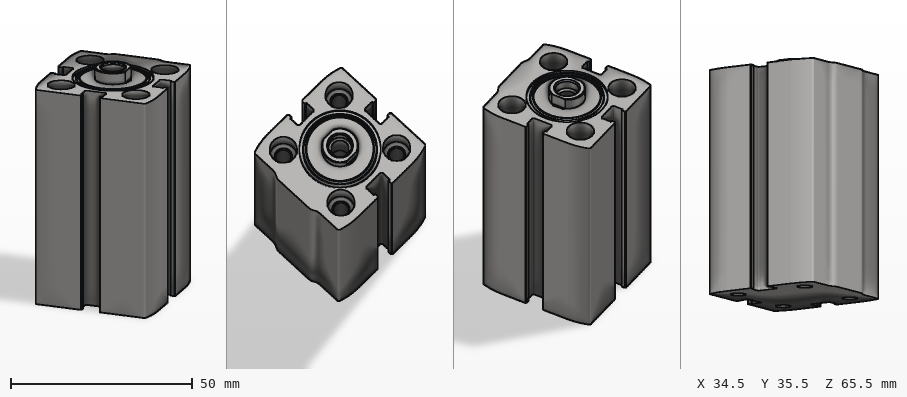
import cadquery as cq
import math

total_height = 65.5
rod_projection = 3.0
housing_height = total_height - rod_projection
rod_insertion = 19.65
rod_base_z = housing_height - rod_insertion

body_width = 34.5
half_width = body_width / 2
band_rise = 1.0
band_foot_half = 9.0
band_top_half = 5.65
band_top_y = half_width + band_rise
band_root_depth = 1.95
band_root_y = half_width - band_root_depth
side_flat_half = 10.6
corner_half_width = 16.1
corner_fillet = 0.65

slot_angles = (0, 180, 270)
slot_depth = 4.45
slot_half_width = 3.15
mouth_half_width = 2.6
lip_thickness = 1.3
lip_chamfer = 0.25
slot_floor_fillet = 0.5

mount_spacing = 22.0
counterbore_diameter = 7.5
counterbore_depth = 6.0
lead_in_diameter = 4.9
mount_hole_diameter = 4.1

cap_bore_diameter = 22.4
outer_ring_diameter = 20.45
outer_ring_slope = math.radians(30)
inner_ring_diameter = 20.0
inner_ring_slope = math.radians(40)
inner_ring_top_diameter = 18.85
cap_face_diameter = 18.35
cap_groove_depth = 0.8
ring_sink = 0.1
cap_face_sink = 0.3
ring_top_z = housing_height - ring_sink
cap_face_z = housing_height - cap_face_sink

rod_diameter = 10.0
rod_chamfer = 0.2
flat_half_width = 4.5
rod_bore_diameter = 6.4
rod_bore_chamfer = 0.4
rod_bore_depth = 2.75
rod_bore_floor_slope = math.radians(30)
thread_diameter = 4.9
thread_depth = 11.8
drill_tip_angle = math.radians(118)


def revolved(section):
    """Solid of revolution about Z from (radius, z) points."""
    return cq.Workplane("XZ").polyline(section).close().revolve(360, (0, 0), (0, 1))


def make_band():
    """Raised band along the +Y side, with an S-shaped flank of two tangent arcs on each side."""
    flank_x = (band_foot_half + band_top_half) / 2
    flank_y = half_width + band_rise / 2
    half_band = (
        cq.Workplane("XY")
        .moveTo(0, band_top_y)
        .lineTo(band_top_half, band_top_y)
        .tangentArcPoint((flank_x, flank_y), relative=False)
        .tangentArcPoint((band_foot_half, half_width), relative=False)
        .lineTo(band_foot_half, band_root_y)
        .lineTo(0, band_root_y)
        .close()
        .extrude(housing_height)
    )
    return half_band.union(half_band.mirror("YZ"))


def barrel_outline():
    """Square whose +X and -X sides are flat in the middle and curve in tangentially to the corners."""
    rise = half_width - side_flat_half
    inset = half_width - corner_half_width
    radius = (rise**2 + inset**2) / (2 * inset)
    half_angle = math.asin(rise / radius) / 2
    arc_x = half_width - radius * (1 - math.cos(half_angle))
    arc_y = side_flat_half + radius * math.sin(half_angle)
    return (
        cq.Workplane("XY")
        .moveTo(-corner_half_width, half_width)
        .lineTo(corner_half_width, half_width)
        .threePointArc((arc_x, arc_y), (half_width, side_flat_half))
        .lineTo(half_width, -side_flat_half)
        .threePointArc((arc_x, -arc_y), (corner_half_width, -half_width))
        .lineTo(-corner_half_width, -half_width)
        .threePointArc((-arc_x, -arc_y), (-half_width, -side_flat_half))
        .lineTo(-half_width, side_flat_half)
        .threePointArc((-arc_x, arc_y), (-corner_half_width, half_width))
        .close()
    )


def slot_cutter(angle):
    """Full-height T-slot opening on the +X side, turned about Z by the given angle."""
    floor_x = half_width - slot_depth
    lip_x = half_width - lip_thickness
    upper_half = [
        (floor_x, slot_half_width),
        (lip_x, slot_half_width),
        (lip_x, mouth_half_width),
        (half_width - lip_chamfer, mouth_half_width),
        (half_width, mouth_half_width + lip_chamfer),
    ]
    lower_half = [(x, -y) for x, y in reversed(upper_half)]
    cutter = cq.Workplane("XY").polyline(upper_half + lower_half).close().extrude(housing_height)
    cutter = cutter.edges("|Z and <X").fillet(slot_floor_fillet)
    return cutter.rotate((0, 0, 0), (0, 0, 1), angle)


def mounting_hole_cutters():
    """Stepped through holes at the four corners, counterbored from the top."""
    floor_z = housing_height - counterbore_depth
    cone_depth = (lead_in_diameter - mount_hole_diameter) / 2
    section = [
        (0, 0),
        (mount_hole_diameter / 2, 0),
        (mount_hole_diameter / 2, floor_z - cone_depth),
        (lead_in_diameter / 2, floor_z),
        (counterbore_diameter / 2, floor_z),
        (counterbore_diameter / 2, housing_height),
        (0, housing_height),
    ]
    hole = revolved(section).val()
    centres = cq.Workplane("XY").rect(mount_spacing, mount_spacing, forConstruction=True).vertices()
    return centres.eachpoint(lambda location: hole.located(location))


def cut_cap_rings(housing):
    """Recess with a sloping outer ring, a narrow groove, a sloping inner ring and the sunken cap face."""
    outer_drop = (cap_bore_diameter - outer_ring_diameter) / 2 * math.tan(outer_ring_slope)
    inner_drop = (inner_ring_diameter - inner_ring_top_diameter) / 2 * math.tan(inner_ring_slope)
    groove_floor = ring_top_z - cap_groove_depth
    recess = [
        (0, housing_height),
        (cap_bore_diameter / 2, housing_height),
        (cap_bore_diameter / 2, ring_top_z - outer_drop),
        (outer_ring_diameter / 2, ring_top_z),
        (outer_ring_diameter / 2, groove_floor),
        (inner_ring_diameter / 2, groove_floor),
        (inner_ring_diameter / 2, ring_top_z - inner_drop),
        (inner_ring_top_diameter / 2, ring_top_z),
        (cap_face_diameter / 2, ring_top_z),
        (cap_face_diameter / 2, cap_face_z),
        (0, cap_face_z),
    ]
    return housing.cut(revolved(recess))


def make_housing():
    barrel = barrel_outline().extrude(housing_height).edges("|Z and (>Y or <Y)").fillet(corner_fillet)
    housing = barrel.union(make_band())
    for angle in slot_angles:
        housing = housing.cut(slot_cutter(angle))
    housing = cut_cap_rings(housing.cut(mounting_hole_cutters()))
    rod_hole = cq.Workplane("XY", origin=(0, 0, rod_base_z)).circle(rod_diameter / 2)
    return housing.cut(rod_hole.extrude(rod_insertion))


def make_rod():
    """Round rod with two flats at its end, and a stepped blind hole with a drilled tip."""
    rod = (
        cq.Workplane("XY", origin=(0, 0, rod_base_z))
        .circle(rod_diameter / 2)
        .extrude(rod_insertion + rod_projection)
        .faces(">Z")
        .chamfer(rod_chamfer)
    )
    runout = rod_diameter / 2 - flat_half_width
    flat_section = [
        (flat_half_width, total_height),
        (flat_half_width, cap_face_z),
        (flat_half_width + runout, cap_face_z - runout),
        (flat_half_width + runout, total_height),
    ]
    flat = cq.Workplane("XZ").polyline(flat_section).close().extrude(rod_diameter / 2, both=True)
    rod = rod.cut(flat).cut(flat.mirror("YZ"))

    bore_radius = rod_bore_diameter / 2
    thread_radius = thread_diameter / 2
    bore_floor = total_height - rod_bore_depth
    thread_end = total_height - thread_depth
    hole = [
        (0, total_height),
        (bore_radius + rod_bore_chamfer, total_height),
        (bore_radius, total_height - rod_bore_chamfer),
        (bore_radius, bore_floor),
        (thread_radius, bore_floor - (bore_radius - thread_radius) * math.tan(rod_bore_floor_slope)),
        (thread_radius, thread_end),
        (0, thread_end - thread_radius / math.tan(drill_tip_angle / 2)),
    ]
    return rod.cut(revolved(hole))


housing = make_housing()
piston_rod = make_rod()
result = cq.Compound.makeCompound([housing.val(), piston_rod.val()])